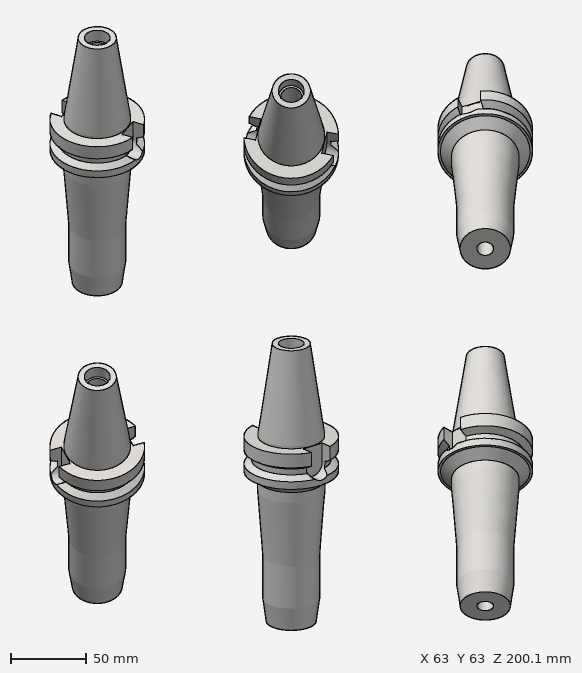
import cadquery as cq
import math


gauge_radius = 44.45 / 2
taper_length = 65.1
taper_per_length = 7 / 24
small_end_radius = gauge_radius - taper_length * taper_per_length / 2

flange_radius = 63 / 2
flange_top_z = -1.6
flange_bottom_z = -27.0
groove_center_z = -16.5
groove_mouth_width = 10.0
groove_floor_radius = 53 / 2
groove_flank_angle = 30
groove_flank_height = (flange_radius - groove_floor_radius) * math.tan(math.radians(groove_flank_angle))
groove_top_z = groove_center_z + groove_mouth_width / 2
groove_bottom_z = groove_center_z - groove_mouth_width / 2

flange_cone_radius = 59.5 / 2
collar_radius = 45 / 2
collar_top_z = -33.0
collar_bottom_z = -40.5
body_radius = 38 / 2
body_top_z = -88.0
body_bottom_z = -118.4
tip_radius = 33.5 / 2
tip_z = -135.0

slot_width = 16.1
slot_floor_distance = 22.5
slot_end_z = -23.4

pilot_radius = 17.0 / 2
pilot_depth = 9.0
thread_radius = 14.0 / 2
thread_depth = 32.0
relief_radius = 13.0 / 2
relief_depth = 42.0
passage_radius = 11.0 / 2
passage_depth = taper_length - tip_z
bore_steps = [
    (pilot_radius, pilot_depth),
    (thread_radius, thread_depth),
    (relief_radius, relief_depth),
    (passage_radius, passage_depth),
]


def make_body():
    """Revolve the outer profile about the Z axis."""
    profile = [
        (0, taper_length),
        (small_end_radius, taper_length),
        (gauge_radius, 0),
        (gauge_radius, flange_top_z),
        (flange_radius, flange_top_z),
        (flange_radius, groove_top_z),
        (groove_floor_radius, groove_top_z - groove_flank_height),
        (groove_floor_radius, groove_bottom_z + groove_flank_height),
        (flange_radius, groove_bottom_z),
        (flange_radius, flange_bottom_z),
        (flange_cone_radius, flange_bottom_z),
        (collar_radius, collar_top_z),
        (collar_radius, collar_bottom_z),
        (body_radius, body_top_z),
        (body_radius, body_bottom_z),
        (tip_radius, tip_z),
        (0, tip_z),
    ]
    return cq.Workplane("XZ").polyline(profile).close().revolve(360, (0, 0), (0, 1))


def make_drive_slot(side):
    """Round-ended slot cutter on the +X (side = 1) or -X (side = -1) flank."""
    half_width = slot_width / 2
    arc_center_z = slot_end_z + half_width
    return (
        cq.Workplane("YZ", origin=(side * slot_floor_distance, 0, 0))
        .moveTo(-half_width, flange_top_z)
        .lineTo(-half_width, arc_center_z)
        .threePointArc((0, slot_end_z), (half_width, arc_center_z))
        .lineTo(half_width, flange_top_z)
        .close()
        .extrude(side * flange_radius)
    )


def make_bore():
    """Coaxial cylinders, all starting at the spindle end."""
    bore = cq.Workplane("XY")
    for radius, depth in bore_steps:
        step = cq.Workplane("XY", origin=(0, 0, taper_length)).circle(radius).extrude(-depth)
        bore = bore.union(step)
    return bore


result = make_body()
for side in (-1, 1):
    result = result.cut(make_drive_slot(side))
result = result.cut(make_bore())